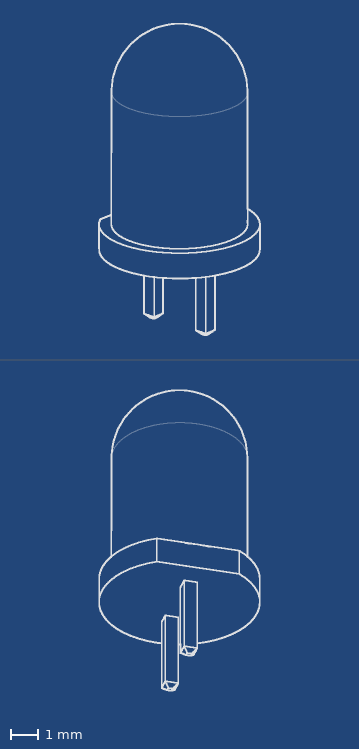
import cadquery as cq

lens_diameter = 5.0
lens_radius = lens_diameter / 2
barrel_height = 5.2
flange_diameter = 5.9
flange_height = 1.0
flat_offset = lens_radius

lead_width = 0.5
lead_length = 3.0
lead_pitch = 2.54
tip_chamfer = lead_width / 3

dome_base = flange_height + barrel_height
dome_top = dome_base + lens_radius


def make_flange():
    """Round flange with a flat on its -X side."""
    disc = cq.Workplane("XY").circle(flange_diameter / 2).extrude(flange_height)
    keep = (
        cq.Workplane("XY")
        .box(flange_diameter, flange_diameter, flange_height, centered=(False, True, False))
        .translate((-flat_offset, 0, 0))
    )
    return disc.intersect(keep)


def make_domed_barrel():
    """Cylinder closed by a hemisphere, revolved from its half profile."""
    arc_mid = lens_radius * 0.5**0.5
    return (
        cq.Workplane("XZ")
        .lineTo(lens_radius, 0)
        .lineTo(lens_radius, dome_base)
        .threePointArc((arc_mid, dome_base + arc_mid), (0, dome_top))
        .close()
        .revolve(360, (0, 0, 0), (0, 1, 0))
    )


def make_lead(x):
    """Square lead below the flange with a chamfered tip."""
    return (
        cq.Workplane("XY")
        .center(x, 0)
        .rect(lead_width, lead_width)
        .extrude(-lead_length)
        .faces("<Z")
        .chamfer(tip_chamfer)
    )


lens = make_flange().union(make_domed_barrel())
leads = [make_lead(side * lead_pitch / 2) for side in (-1, 1)]

result = cq.Compound.makeCompound([lens.val(), *[lead.val() for lead in leads]])